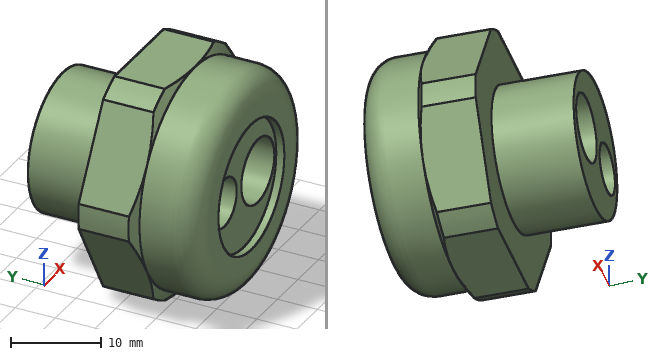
import cadquery as cq
import math

hex_sides = 6
hex_across_flats = 27.0
hex_corner_diameter = 29.5
hex_length = 7.0
hex_chamfer_angle = 30.0

collar_diameter = hex_across_flats
collar_length = 7.02
collar_rounding = 3.0

stem_diameter = 17.02
total_length = 23.5
stem_length = total_length - collar_length - hex_length

recess_diameter = 16.0
recess_depth = 1.0

through_holes = [(-4.6, 6.0), (3.5, 8.0)]

front_y = 0.0
hex_front_y = front_y + collar_length
hex_back_y = hex_front_y + hex_length


def cylinder(diameter, start_y, length, x=0.0):
    """Cylinder along +Y starting at start_y."""
    plane = cq.Workplane("XZ", origin=(x, start_y, 0))
    return plane.circle(diameter / 2).extrude(-length)


def make_hex():
    """Hexagon with flats facing +/-Z, its corners turned round and bevelled in front."""
    sharp_corner_diameter = hex_across_flats / math.cos(math.pi / hex_sides)
    prism = (
        cq.Workplane("XZ", origin=(0, hex_front_y, 0))
        .polygon(hex_sides, sharp_corner_diameter)
        .extrude(-hex_length)
    )
    bevel_width = (hex_corner_diameter - hex_across_flats) / 2
    bevel_length = bevel_width * math.tan(math.radians(hex_chamfer_angle))
    turned_envelope = (
        cq.Workplane("XY")
        .moveTo(0, hex_front_y)
        .lineTo(hex_across_flats / 2, hex_front_y)
        .lineTo(hex_corner_diameter / 2, hex_front_y + bevel_length)
        .lineTo(hex_corner_diameter / 2, hex_back_y)
        .lineTo(0, hex_back_y)
        .close()
        .revolve(360, (0, 0, 0), (0, 1, 0))
    )
    return prism.intersect(turned_envelope)


def make_collar():
    """Round front collar with a rounded front rim."""
    collar = cylinder(collar_diameter, front_y, collar_length)
    return collar.faces("<Y").edges().fillet(collar_rounding)


stem = cylinder(stem_diameter, hex_back_y, stem_length)
result = make_hex().union(make_collar()).union(stem)

result = result.cut(cylinder(recess_diameter, front_y, recess_depth))
for hole_x, hole_diameter in through_holes:
    result = result.cut(cylinder(hole_diameter, front_y, total_length, hole_x))